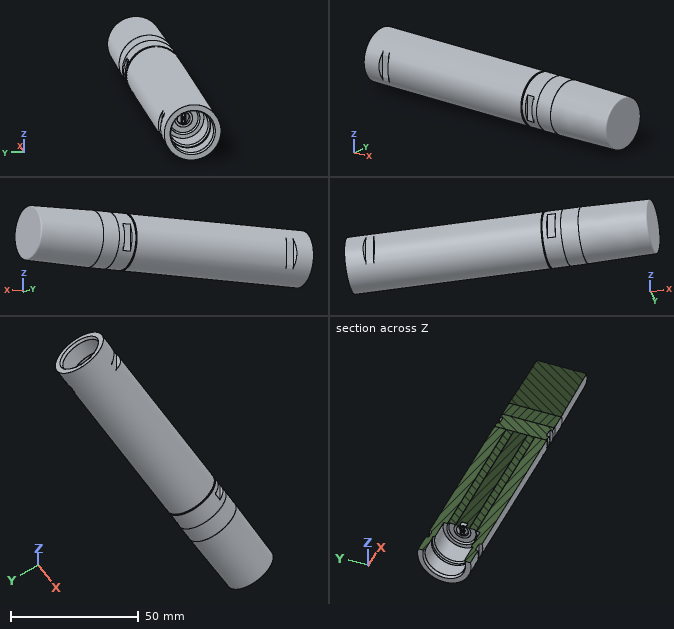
import cadquery as cq
import math

length = 122.6
body_radius = 11.4

barrel_length = 79.7
collar_end = 87.7
spacer_end = 94.8

mouth_radius = 9.1
mouth_chamfer_width = 0.5
mouth_chamfer_length = 1.2
bore_radius = mouth_radius - mouth_chamfer_width
bore_depth = 8.0
relief_radius = 8.7
relief_end = 9.1
cone_length = 0.5
inner_radius = 8.0
seat_depth = 18.4
seat_radius = 6.4

carrier_radius = seat_radius
rim_width = 0.6
face_depth = seat_depth + rim_width
contact_radius = 3.5

socket_radius = 2.6
socket_depth = 2.5
flank_radius = 2.6
blade_half_width = 1.0
blade_half_height = 2.2
window_half_width = 0.5
window_inner = 0.6
window_outer = 2.0
window_depth = 1.0
slit_width = 0.4
slit_depth = 0.5

flat_distance = 10.0
barrel_flat_start = 8.3
barrel_flat_width = 3.2
barrel_flat_flare = 0.7
barrel_flat_half_height = 4.7
barrel_flat_end_height = 6.1
collar_flat_start = 82.0
collar_flat_width = 3.3

groove_width = 0.4
groove_depth = 0.4

cap_end_radius = 10.9
cap_fillet = 0.6


def cylinder(start, end, radius):
    """Solid cylinder about the X axis."""
    return cq.Workplane("YZ", origin=(start, 0, 0)).circle(radius).extrude(end - start)


def revolve_about_x(points):
    """Solid of revolution from (x, radius) points."""
    return cq.Workplane("XZ").polyline(points).close().revolve(360, (0, 0, 0), (1, 0, 0))


def on_both_sides(cutter):
    """The cutter on the -Y side together with its mirror on the +Y side."""
    return cutter.union(cutter.mirror("XZ"))


def barrel_flat_cutter():
    """Flared flat whose two ends slope away to the round surface."""
    start = barrel_flat_start
    end = start + barrel_flat_width
    flare = barrel_flat_flare
    flared_slot = (
        cq.Workplane("XY")
        .polyline([
            (start, -flat_distance),
            (end, -flat_distance),
            (end + flare, -body_radius),
            (start - flare, -body_radius),
        ])
        .close()
        .extrude(barrel_flat_end_height, both=True)
    )
    end_depth = math.sqrt(body_radius**2 - barrel_flat_end_height**2)
    sloped_ends = (
        cq.Workplane("YZ", origin=(start, 0, 0))
        .polyline([
            (-flat_distance, -barrel_flat_half_height),
            (-flat_distance, barrel_flat_half_height),
            (-end_depth, barrel_flat_end_height),
            (-body_radius, barrel_flat_end_height),
            (-body_radius, -barrel_flat_end_height),
            (-end_depth, -barrel_flat_end_height),
        ])
        .close()
        .extrude(barrel_flat_width)
    )
    return on_both_sides(flared_slot.union(sloped_ends))


def make_barrel():
    """Tube with a chamfered mouth, a stepped bore and a flat on each Y side."""
    profile = [
        (0, mouth_radius),
        (mouth_chamfer_length, bore_radius),
        (bore_depth, bore_radius),
        (bore_depth, relief_radius),
        (relief_end, relief_radius),
        (relief_end + cone_length, inner_radius),
        (seat_depth, inner_radius),
        (seat_depth, seat_radius),
        (barrel_length, seat_radius),
        (barrel_length, body_radius),
        (0, body_radius),
    ]
    return revolve_about_x(profile).cut(barrel_flat_cutter())


def make_carrier():
    """Sleeve filling the barrel behind the bore, sunk below the seat with a tapered rim."""
    profile = [
        (face_depth, contact_radius),
        (face_depth, carrier_radius - rim_width),
        (seat_depth, carrier_radius),
        (barrel_length, carrier_radius),
        (barrel_length, contact_radius),
    ]
    return revolve_about_x(profile)


def make_blade():
    """Blade with concave flanks that widens towards the socket floor."""
    socket_floor = face_depth + socket_depth
    return (
        cq.Workplane("XY")
        .moveTo(face_depth, -blade_half_width)
        .lineTo(face_depth, blade_half_width)
        .radiusArc((socket_floor, socket_radius), -flank_radius)
        .lineTo(socket_floor, -socket_radius)
        .radiusArc((face_depth, -blade_half_width), -flank_radius)
        .close()
        .extrude(blade_half_height, both=True)
    )


def make_contact():
    """Rod with a round socket; its blade has two windows and a slit across its front."""
    rod = cylinder(face_depth, barrel_length, contact_radius)
    socket = cylinder(face_depth, face_depth + socket_depth, socket_radius)
    window_height = window_outer - window_inner
    windows = (
        cq.Workplane("YZ", origin=(face_depth, 0, 0))
        .pushPoints([(0, side * (window_inner + window_height / 2)) for side in (-1, 1)])
        .rect(2 * window_half_width, window_height)
        .extrude(window_depth)
    )
    slit = (
        cq.Workplane("YZ", origin=(face_depth, 0, 0))
        .rect(2 * socket_radius, slit_width)
        .extrude(slit_depth)
    )
    blade = make_blade().intersect(socket)
    return rod.cut(socket.cut(blade)).cut(windows).cut(slit.intersect(socket))


def make_collar():
    """Round collar with a relief groove at its front and a square-sided flat on each Y side."""
    neck = cylinder(barrel_length, barrel_length + groove_width, body_radius - groove_depth)
    ring = cylinder(barrel_length + groove_width, collar_end, body_radius)
    flat_depth = body_radius - flat_distance
    flat = cq.Workplane("XY").box(
        collar_flat_width, flat_depth, 2 * body_radius, centered=(False, False, True)
    ).translate((collar_flat_start, -body_radius, 0))
    return neck.union(ring).cut(on_both_sides(flat))


def make_spacer():
    """Plain disc between collar and cap."""
    return cylinder(collar_end, spacer_end, body_radius)


def make_cap():
    """Slightly tapered end cap with a rounded rim."""
    profile = [
        (spacer_end, 0),
        (spacer_end, body_radius),
        (length, cap_end_radius),
        (length, 0),
    ]
    return revolve_about_x(profile).faces(">X").edges().fillet(cap_fillet)


barrel = make_barrel()
carrier = make_carrier()
contact = make_contact()
collar = make_collar()
spacer = make_spacer()
cap = make_cap()

result = cq.Compound.makeCompound([
    barrel.val(),
    carrier.val(),
    contact.val(),
    collar.val(),
    spacer.val(),
    cap.val(),
])